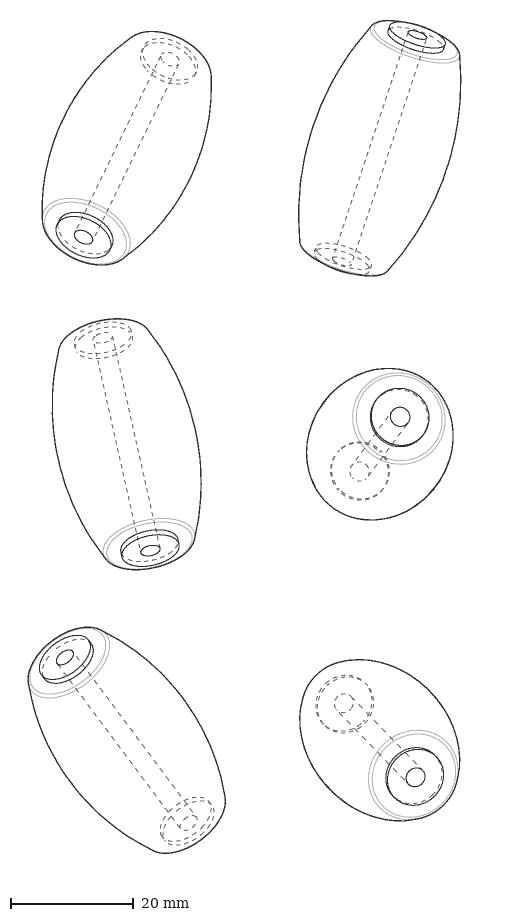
import cadquery as cq

belly_radius = 11.45
end_radius = 7.48
body_length = 39.3
edge_round = 0.57
boss_radius = 4.77
boss_height = 0.95
bore_diameter = 3.2
axis_direction = (1, -1, 0)

half_body = body_length / 2
half_total = half_body + boss_height

cross_plane = cq.Plane(origin=(0, 0, 0), xDir=(-1, -1, 0), normal=axis_direction)


def barrel():
    """Bulging body: local X is the radius and local Y the roller axis."""
    profile_plane = cq.Plane(origin=(0, 0, 0), xDir=(-1, -1, 0), normal=(0, 0, 1))
    body = (
        cq.Workplane(profile_plane)
        .moveTo(0, -half_body)
        .lineTo(end_radius, -half_body)
        .threePointArc((belly_radius, 0), (end_radius, half_body))
        .lineTo(0, half_body)
        .close()
        .revolve(360, (0, 0, 0), (0, 1, 0))
    )
    end_faces = cq.selectors.ParallelDirSelector(cq.Vector(*axis_direction))
    return body.faces(end_faces).edges().fillet(edge_round)


def axial_cylinder(radius):
    """Cylinder centred on the roller axis, reaching both boss ends."""
    return cq.Workplane(cross_plane).circle(radius).extrude(half_total, both=True)


bosses = axial_cylinder(boss_radius)
bore = axial_cylinder(bore_diameter / 2)
result = barrel().union(bosses).cut(bore)